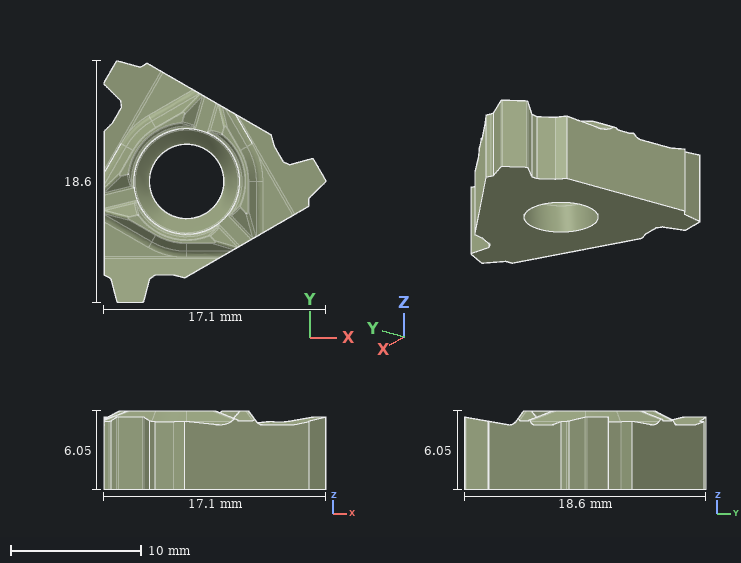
import cadquery as cq
import math

CORNER_COUNT = 3
CORNER_PITCH = 360.0 / CORNER_COUNT

TOP_Z = 6.05
FLOOR_Z = 4.97
SLOT_Z = 5.26

INSCRIBED_RADIUS = 6.35
SHOULDER_Y = -7.19
TIP_Y = -9.30
HEEL_X = -0.15
TOOTH_CENTER_X = -4.33
TOOTH_TIP_HALF_WIDTH = 1.02
TOOTH_ROOT_HALF_WIDTH = 1.49
TOOTH_ROOT_Y = -7.5
TIP_FILLET = 0.13
TIP_CORNER_MIN_RADIUS = 9.7
LEFT_ROOT_BREAK_X = -5.97
LEFT_ROOT_BREAK_Y = -7.38
RIGHT_SHOULDER_START_X = -2.42
RIGHT_SHOULDER_END_X = -1.02

HUB_TOP_DISTANCE = 4.76
HUB_WALL_ANGLE = 54.0
HUB_BASE_RADIUS = 0.62
HUB_ARC_SPAN = 30.0

RAKE_ANGLE = 10.0
RAKE_START_Y = -5.76
RAKE_BLEND_RADIUS = 1.0

SLOT_ANGLE = 193.8
SLOT_FLAT_HALF_WIDTH = 0.49
SLOT_WALL_ANGLE = 38.0
SLOT_FLOOR_FILLET = 0.28
SLOT_CORNER_MIN_RADIUS = 5.0
SLOT_CORNER_FILLET = 0.2

HOLE_RADIUS = 5.7 / 2
SEAT_BOTTOM_Z = 2.2
SEAT_TOP_Z = 5.0
SEAT_TOP_RADIUS = 3.95
RIM_RADIUS = 4.06
LEDGE_RADIUS = 4.22
RING_TOP_RADIUS = 4.5
RING_FOOT_FILLET = 0.15
RING_END_FILLET = 0.15
HUB_RIM_FILLET = 0.06

REACH = 20.0
TOLERANCE = 0.01


def polar(radius, angle):
    a = math.radians(angle)
    return (radius * math.cos(a), radius * math.sin(a))


def turned(point, angle):
    a = math.radians(angle)
    x, y = point
    return (x * math.cos(a) - y * math.sin(a), x * math.sin(a) + y * math.cos(a))


def around(shape):
    """The shape at each corner of the insert."""
    return [shape.rotate((0, 0, 0), (0, 0, 1), CORNER_PITCH * i) for i in range(CORNER_COUNT)]


def corner_points():
    """One corner, from its straight side across the tooth to the heel."""
    side_x = -INSCRIBED_RADIUS
    side_normal = math.radians(CORNER_PITCH / 2)
    heel_y = (HEEL_X * math.cos(side_normal) - INSCRIBED_RADIUS) / math.sin(side_normal)
    tip_left = TOOTH_CENTER_X - TOOTH_TIP_HALF_WIDTH
    tip_right = TOOTH_CENTER_X + TOOTH_TIP_HALF_WIDTH
    root_left = TOOTH_CENTER_X - TOOTH_ROOT_HALF_WIDTH
    root_right = TOOTH_CENTER_X + TOOTH_ROOT_HALF_WIDTH
    return [
        (side_x, SHOULDER_Y),
        (LEFT_ROOT_BREAK_X, LEFT_ROOT_BREAK_Y),
        (root_left, TOOTH_ROOT_Y),
        (tip_left, TIP_Y),
        (tip_right, TIP_Y),
        (root_right, TOOTH_ROOT_Y),
        (RIGHT_SHOULDER_START_X, SHOULDER_Y),
        (RIGHT_SHOULDER_END_X, SHOULDER_Y),
        (HEEL_X, heel_y),
    ]


def outline_prism():
    points = [turned(p, CORNER_PITCH * i) for i in range(CORNER_COUNT) for p in corner_points()]
    prism = cq.Workplane("XY").polyline(points).close().extrude(TOP_Z)
    tip_edges = [
        edge for edge in prism.edges("|Z").vals()
        if math.hypot(edge.Center().x, edge.Center().y) > TIP_CORNER_MIN_RADIUS
    ]
    return prism.newObject(tip_edges).fillet(TIP_FILLET)


def hub_wire(z, distance):
    """Flat walls at right angles in pairs, joined by arcs about the axis."""
    apex = distance / math.cos(math.radians((CORNER_PITCH - HUB_ARC_SPAN) / 2))
    wire = cq.Workplane("XY").workplane(offset=z).moveTo(*polar(distance, 0))
    for i in range(CORNER_COUNT):
        start = CORNER_PITCH * i
        wire = wire.threePointArc(
            polar(distance, start + HUB_ARC_SPAN / 2), polar(distance, start + HUB_ARC_SPAN)
        )
        wire = wire.lineTo(*polar(apex, start + (HUB_ARC_SPAN + CORNER_PITCH) / 2))
        if i < CORNER_COUNT - 1:
            wire = wire.lineTo(*polar(distance, start + CORNER_PITCH))
    return wire.close().val()


def hub_on_plate():
    height = TOP_Z - FLOOR_Z
    base_distance = HUB_TOP_DISTANCE + height / math.tan(math.radians(HUB_WALL_ANGLE))
    hub = cq.Solid.makeLoft(
        [hub_wire(FLOOR_Z, base_distance), hub_wire(TOP_Z, HUB_TOP_DISTANCE)], True
    )
    plate = cq.Workplane("XY").circle(REACH).extrude(FLOOR_Z)
    base_edges = cq.selectors.BoxSelector(
        (-REACH / 2, -REACH / 2, FLOOR_Z - TOLERANCE), (REACH / 2, REACH / 2, FLOOR_Z + TOLERANCE)
    )
    return plate.union(cq.Workplane(hub)).edges(base_edges).fillet(HUB_BASE_RADIUS)


def rake_wedge():
    """Face that blends out of the floor and climbs toward the tooth tip."""
    rake = math.radians(RAKE_ANGLE)
    blend_mid = (
        RAKE_START_Y - RAKE_BLEND_RADIUS * math.sin(rake / 2),
        FLOOR_Z + RAKE_BLEND_RADIUS * (1 - math.cos(rake / 2)),
    )
    blend_end = (
        RAKE_START_Y - RAKE_BLEND_RADIUS * math.sin(rake),
        FLOOR_Z + RAKE_BLEND_RADIUS * (1 - math.cos(rake)),
    )
    run = blend_end[0] + REACH / 2
    return (
        cq.Workplane("YZ", origin=(-REACH / 2, 0, 0))
        .moveTo(RAKE_START_Y, FLOOR_Z)
        .threePointArc(blend_mid, blend_end)
        .lineTo(-REACH / 2, blend_end[1] + run * math.tan(rake))
        .lineTo(-REACH / 2, 0)
        .lineTo(RAKE_START_Y, 0)
        .close()
        .extrude(REACH)
    )


def slot_cutter():
    """Flat-bottomed slot with sloping sides, running out from the axis."""
    wall = math.radians(SLOT_WALL_ANGLE)
    corner_half_width = SLOT_FLAT_HALF_WIDTH + SLOT_FLOOR_FILLET * math.tan(wall / 2)
    top_half_width = corner_half_width + (TOP_Z - SLOT_Z) / math.tan(wall)
    slot = (
        cq.Workplane("YZ")
        .polyline([
            (-corner_half_width, SLOT_Z),
            (corner_half_width, SLOT_Z),
            (top_half_width, TOP_Z),
            (-top_half_width, TOP_Z),
        ])
        .close()
        .extrude(REACH / 2)
        .edges("|X and <Z")
        .fillet(SLOT_FLOOR_FILLET)
    )
    return slot.rotate((0, 0, 0), (0, 0, 1), SLOT_ANGLE)


def hole_cutter():
    """Screw hole, flared seat, and ring-shaped ledge at its mouth."""
    depth = SEAT_TOP_Z - SEAT_BOTTOM_Z
    flare = SEAT_TOP_RADIUS - HOLE_RADIUS
    seat_radius = (depth**2 + flare**2) / (2 * flare)
    half_angle = math.atan2(flare, depth)
    seat_mid = (
        HOLE_RADIUS + seat_radius * (1 - math.cos(half_angle)),
        SEAT_BOTTOM_Z + seat_radius * math.sin(half_angle),
    )
    foot_edge = cq.selectors.RadiusNthSelector(-2)
    return (
        cq.Workplane("XZ")
        .moveTo(0, 0)
        .lineTo(HOLE_RADIUS, 0)
        .lineTo(HOLE_RADIUS, SEAT_BOTTOM_Z)
        .threePointArc(seat_mid, (SEAT_TOP_RADIUS, SEAT_TOP_Z))
        .lineTo(RIM_RADIUS, SLOT_Z)
        .lineTo(LEDGE_RADIUS, SLOT_Z)
        .lineTo(RING_TOP_RADIUS, TOP_Z)
        .lineTo(0, TOP_Z)
        .close()
        .revolve(360, (0, 0, 0), (0, 1, 0))
        .edges(foot_edge)
        .fillet(RING_FOOT_FILLET)
    )


def edges_below_top(shape, least_radius, greatest_radius):
    """Edges running down from hub-top points that lie between two radii from the axis."""
    found = []
    for edge in shape.edges().vals():
        low, high = sorted((edge.startPoint(), edge.endPoint()), key=lambda end: end.z)
        starts_at_top = high.z > TOP_Z - TOLERANCE
        goes_down = low.z < TOP_Z - TOLERANCE
        radius = math.hypot(high.x, high.y)
        if starts_at_top and goes_down and least_radius < radius < greatest_radius:
            found.append(edge)
    return found


def round_slot_corners(shape):
    """Round the edges between slot sides and hub walls."""
    corners = edges_below_top(shape, SLOT_CORNER_MIN_RADIUS, REACH)
    return shape.newObject(corners).fillet(SLOT_CORNER_FILLET)


def round_ring_ends(shape):
    """Round the curved edges where the ring wall runs into the slot sides."""
    near_ring = edges_below_top(shape, RIM_RADIUS, RING_TOP_RADIUS + TOLERANCE)
    ring_ends = [edge for edge in near_ring if edge.geomType() != "LINE"]
    return shape.newObject(ring_ends).fillet(RING_END_FILLET)


def round_hub_rim(shape):
    return shape.faces(">Z").edges().fillet(HUB_RIM_FILLET)


body = hub_on_plate()
for slot in around(slot_cutter()):
    body = body.cut(slot)
body = round_slot_corners(body)
body = body.cut(hole_cutter())
body = round_ring_ends(body)
body = round_hub_rim(body)
for wedge in around(rake_wedge()):
    body = body.union(wedge)
result = body.intersect(outline_prism())